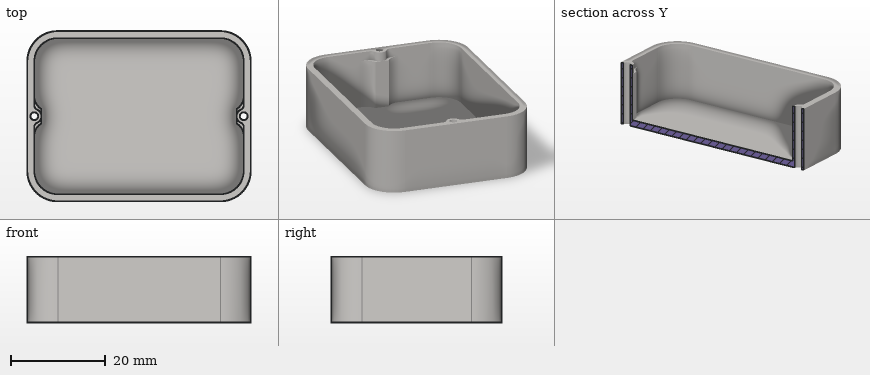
import cadquery as cq
import math

LENGTH = 47.15
WIDTH = 35.95
HEIGHT = 13.9
CORNER_RADIUS = 6.45
WALL = 1.5
FLOOR = 1.5

HOLE_DIAMETER = 1.6
POST_RADIUS = 1.5
POST_FILLET = 1.0

PAD_DEPTH = 1.5
PAD_FLAT = 3.0
PAD_FILLET = 3.0
PAD_DROP = 2.0

INNER_WALL_X = LENGTH / 2 - WALL
WALL_OVERLAP = WALL / 2


def rounded_block(length, width, height, radius):
    """Upright block on the XY plane with rounded vertical edges."""
    block = cq.Workplane("XY").box(length, width, height, centered=(True, True, False))
    return block.edges("|Z").fillet(radius)


def make_tray():
    outer = rounded_block(LENGTH, WIDTH, HEIGHT, CORNER_RADIUS)
    cavity = rounded_block(
        LENGTH - 2 * WALL, WIDTH - 2 * WALL, HEIGHT - FLOOR, CORNER_RADIUS - WALL
    )
    return outer.cut(cavity.translate((0, 0, FLOOR)))


def make_post():
    """Half-round post on the +X wall, blended into the wall by concave arcs."""
    reach = POST_RADIUS + POST_FILLET
    blend_center_y = math.sqrt(reach**2 - POST_FILLET**2)
    blend_angle = math.atan2(blend_center_y, POST_FILLET)
    post_x = INNER_WALL_X - POST_RADIUS * math.cos(blend_angle)
    post_y = POST_RADIUS * math.sin(blend_angle)
    middle_x = INNER_WALL_X - POST_FILLET * (1 - math.cos(blend_angle / 2))
    middle_y = blend_center_y - POST_FILLET * math.sin(blend_angle / 2)
    outline = (
        cq.Workplane("XY")
        .workplane(offset=FLOOR)
        .moveTo(INNER_WALL_X + WALL_OVERLAP, -blend_center_y)
        .lineTo(INNER_WALL_X, -blend_center_y)
        .threePointArc((middle_x, -middle_y), (post_x, -post_y))
        .threePointArc((INNER_WALL_X - POST_RADIUS, 0), (post_x, post_y))
        .threePointArc((middle_x, middle_y), (INNER_WALL_X, blend_center_y))
        .lineTo(INNER_WALL_X + WALL_OVERLAP, blend_center_y)
        .close()
    )
    return outline.extrude(HEIGHT - FLOOR)


def make_pad():
    """Flat-faced pad on the +X wall with concave flanks that run out into the wall."""
    sweep = math.acos(1 - PAD_DEPTH / PAD_FILLET)
    flat_x = INNER_WALL_X - PAD_DEPTH
    flat_y = PAD_FLAT / 2
    base_y = flat_y + PAD_FILLET * math.sin(sweep)
    middle_x = INNER_WALL_X - PAD_FILLET * (1 - math.cos(sweep / 2))
    middle_y = base_y - PAD_FILLET * math.sin(sweep / 2)
    outline = (
        cq.Workplane("XY")
        .workplane(offset=FLOOR)
        .moveTo(INNER_WALL_X + WALL_OVERLAP, -base_y)
        .lineTo(INNER_WALL_X, -base_y)
        .threePointArc((middle_x, -middle_y), (flat_x, -flat_y))
        .lineTo(flat_x, flat_y)
        .threePointArc((middle_x, middle_y), (INNER_WALL_X, base_y))
        .lineTo(INNER_WALL_X + WALL_OVERLAP, base_y)
        .close()
    )
    return outline.extrude(HEIGHT - FLOOR - PAD_DROP)


support = make_post().union(make_pad())
screw_holes = (
    cq.Workplane("XY")
    .pushPoints([(-INNER_WALL_X, 0), (INNER_WALL_X, 0)])
    .circle(HOLE_DIAMETER / 2)
    .extrude(HEIGHT)
)

result = make_tray().union(support).union(support.mirror("YZ")).cut(screw_holes)